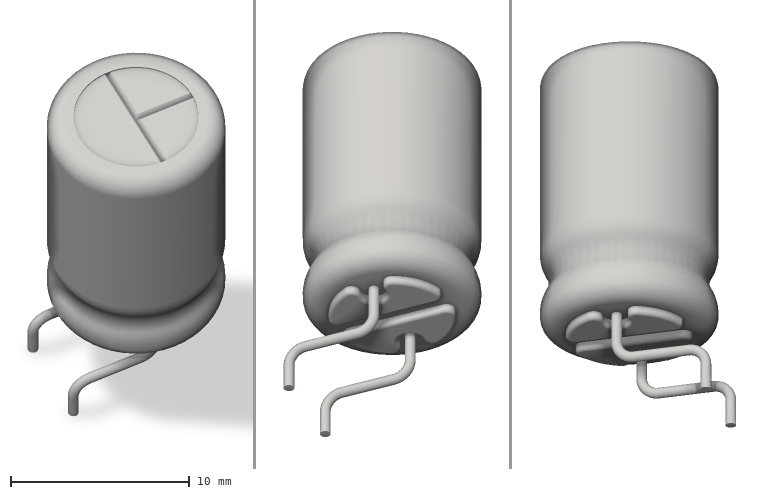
import cadquery as cq
import math


CAN_RADIUS = 5.0
CAN_HEIGHT = 16.0
CAN_EDGE_RADIUS = 1.0

CRIMP_HEIGHT = 3.0
CRIMP_DEPTH = 0.5
CRIMP_INNER_RADIUS = 1.5
CRIMP_SHOULDER_RADIUS = 2.0

RECESS_RADIUS = 3.5
RECESS_DEPTH = 0.1
SCORE_WIDTH = 0.4
SCORE_DEPTH = 0.2

PAD_HEIGHT = 0.5
PAD_OUTER_RADIUS = 3.55
PAD_GAP = 1.0
PAD_CORNER_RADIUS = 0.5
PAD_EDGE_RADIUS = 0.2
NOTCH_WIDTH = 1.5

LEAD_PITCH = 5.0
LEAD_DIAMETER = 0.6
LEAD_EMBED = 1.0
LEAD_BEND_RADIUS = 1.0
LEAD_OFFSET = 5.2
LEAD_FIRST_BEND_Z = -1.75
LEAD_END_Z = -5.29


def make_can():
    """Revolve the can: a crimp of tangent arcs, then rounded ends."""
    arc_sum = CRIMP_INNER_RADIUS + CRIMP_SHOULDER_RADIUS
    sweep = math.acos(1 - CRIMP_DEPTH / arc_sum)
    blend_radius = CAN_RADIUS - CRIMP_SHOULDER_RADIUS * (1 - math.cos(sweep))
    blend_rise = CRIMP_INNER_RADIUS * math.sin(sweep)
    crimp_rise = arc_sum * math.sin(sweep)

    profile = (
        cq.Workplane("XZ")
        .lineTo(CAN_RADIUS, 0)
        .lineTo(CAN_RADIUS, CRIMP_HEIGHT - crimp_rise)
        .tangentArcPoint((blend_radius, CRIMP_HEIGHT - blend_rise), relative=False)
        .tangentArcPoint((CAN_RADIUS - CRIMP_DEPTH, CRIMP_HEIGHT), relative=False)
        .tangentArcPoint((blend_radius, CRIMP_HEIGHT + blend_rise), relative=False)
        .tangentArcPoint((CAN_RADIUS, CRIMP_HEIGHT + crimp_rise), relative=False)
        .lineTo(CAN_RADIUS, CAN_HEIGHT)
        .lineTo(0, CAN_HEIGHT)
        .close()
    )
    can = profile.revolve(360, (0, 0, 0), (0, 1, 0))
    return can.faces("<Z or >Z").edges().fillet(CAN_EDGE_RADIUS)


def make_score(start, end):
    """V-shaped bar along X between two stations, its wide side on the recess floor."""
    return (
        cq.Workplane("YZ", origin=(start, 0, CAN_HEIGHT - RECESS_DEPTH))
        .moveTo(-SCORE_WIDTH / 2, 0)
        .lineTo(SCORE_WIDTH / 2, 0)
        .lineTo(0, -SCORE_DEPTH)
        .close()
        .extrude(end - start)
    )


def make_top_cut():
    """Round recess plus two scores in a T, trimmed to the recess circle."""
    can_top = cq.Workplane("XY", origin=(0, 0, CAN_HEIGHT))
    recess = can_top.circle(RECESS_RADIUS).extrude(-RECESS_DEPTH)
    trim = can_top.circle(RECESS_RADIUS).extrude(-(RECESS_DEPTH + SCORE_DEPTH))
    cross_score = make_score(-CAN_RADIUS, CAN_RADIUS)
    stem_score = make_score(0, CAN_RADIUS).rotate((0, 0, 0), (0, 0, 1), 90)
    return recess.union(cross_score.union(stem_score).intersect(trim))


def make_pad():
    """Standoff on the +X side: a disc segment notched from outside around its lead."""
    lead_x = LEAD_PITCH / 2
    notch_end_radius = NOTCH_WIDTH / 2
    disc = cq.Workplane("XY").circle(PAD_OUTER_RADIUS).extrude(-PAD_HEIGHT)
    gap_side = (
        cq.Workplane("XY")
        .center(PAD_GAP / 2 - PAD_OUTER_RADIUS, 0)
        .rect(2 * PAD_OUTER_RADIUS, 2 * PAD_OUTER_RADIUS)
        .extrude(-PAD_HEIGHT)
    )
    segment = disc.cut(gap_side).edges("|Z").fillet(PAD_CORNER_RADIUS)

    notch_end = cq.Workplane("XY").center(lead_x, 0).circle(notch_end_radius).extrude(-PAD_HEIGHT)
    notch_mouth = (
        cq.Workplane("XY")
        .center(lead_x + PAD_OUTER_RADIUS / 2, 0)
        .rect(PAD_OUTER_RADIUS, NOTCH_WIDTH)
        .extrude(-PAD_HEIGHT)
    )
    pad = segment.cut(notch_end.union(notch_mouth))

    pad = pad.edges("|Z").edges(">X").fillet(PAD_CORNER_RADIUS)
    return pad.faces("<Z").edges().fillet(PAD_EDGE_RADIUS)


def make_lead():
    """Round wire starting inside the can on its axis: down, out to -Y, then down again."""
    bend = LEAD_BEND_RADIUS
    run_z = LEAD_FIRST_BEND_Z - bend
    path = (
        cq.Workplane("YZ")
        .moveTo(0, LEAD_EMBED)
        .lineTo(0, LEAD_FIRST_BEND_Z)
        .tangentArcPoint((-bend, run_z), relative=False)
        .lineTo(bend - LEAD_OFFSET, run_z)
        .tangentArcPoint((-LEAD_OFFSET, run_z - bend), relative=False)
        .lineTo(-LEAD_OFFSET, LEAD_END_Z)
    )
    section = cq.Workplane("XY", origin=(0, 0, LEAD_EMBED)).circle(LEAD_DIAMETER / 2)
    return section.sweep(path)


result = make_can().cut(make_top_cut())
for turn, side in ((0, 1), (180, -1)):
    result = result.union(make_pad().rotate((0, 0, 0), (0, 0, 1), turn))
    result = result.union(make_lead().translate((side * LEAD_PITCH / 2, 0, 0)))